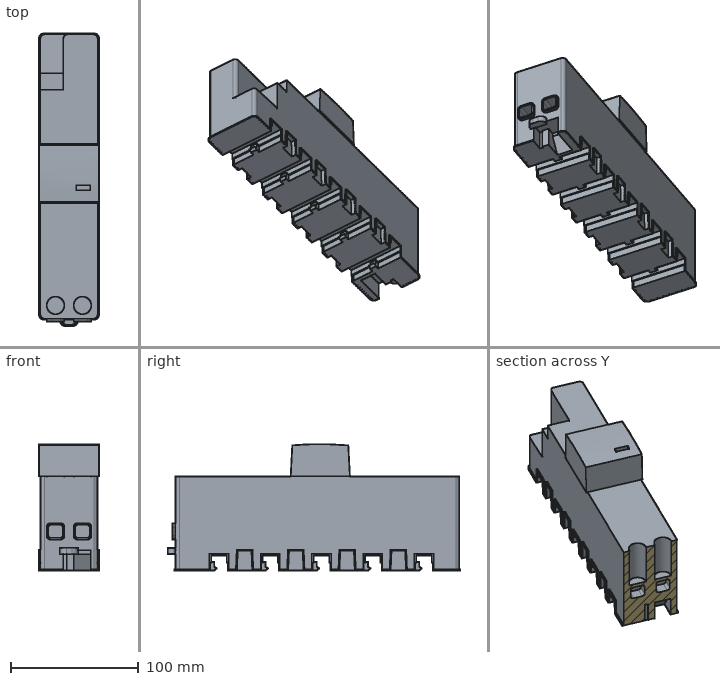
import cadquery as cq

overall_width = 47.0
overall_length = 229.0
overall_height = 99.0
lip_side = 1.1
lip_end = 0.8
lip_height = 1.0
body_width = overall_width - 2 * lip_side
body_length = 222.1
body_height = 73.7
body_corner_radius = 3.0
front_y = -body_length / 2
back_y = body_length / 2
cut_margin = 2.3
pick_margin = 0.2

hood_center_y = 2.3
hood_base_length = 46.5
hood_top_length = 44.0
hood_crown = 1.0
hood_slot_width = 11.0
hood_slot_length = 3.7
hood_slot_depth = 3.5
hood_slot_x = 11.0
hood_slot_y = -8.7

step_x = -4.4
step_lower_y = 80.5
step_upper_y = 68.0
step_upper_z = 60.7
step_floor_inner_z = 33.0
step_floor_outer_z = 31.5

notch_count = 5
notch_pitch = 40.0
notch_first_y = 83.4
notch_frame_width = 15.0
notch_frame_height = 13.0
notch_mouth_width = 13.7
notch_mouth_height = 6.2
notch_throat_width = 12.0
notch_throat_height = 11.7

pocket_frame_height = 16.5
pocket_frame_top = 12.4
pocket_frame_bottom = 13.7
pocket_rim = 1.0
pocket_floor_x = 19.7

terminal_offset_x = 10.5
screw_hole_diameter = 13.7
screw_hole_depth = 34.3
screw_hole_y = -100.8
collar_width = 14.0
collar_height = 13.0
collar_wall = 1.4
collar_radius = 3.5
collar_projection = 2.3
collar_z = 30.7
wire_hole_depth = 18.3

slot_left_x = -4.5
slot_right_x = 17.0
slot_height = 15.8
slot_upper_depth = 16.0
slot_lower_depth = 24.0
slot_slope_z = 12.8
slider_left_x = -1.8
slider_right_x = 3.7
slider_recess = 9.2
slider_step_recess = 10.5
hook_thickness = 3.2
hook_height = 6.9
hook_tip_reach = 5.3
hook_tip_z = 1.8
hook_root_z = 3.0
tab_width = 14.2
tab_bottom_z = 12.8
tab_top_z = 17.9
tab_projection = overall_length - body_length - lip_end
tab_corner_radius = 4.8
tab_wall = 1.4
tab_floor = 1.1
tab_back_wall = 1.0

notch_ys = [notch_first_y - i * notch_pitch for i in range(notch_count)]
pocket_ys = [y - notch_pitch / 2 for y in notch_ys[:-1]]


def box(x0, x1, y0, y1, z0, z1):
    """Box between two opposite corners."""
    return cq.Workplane("XY").box(x1 - x0, y1 - y0, z1 - z0, centered=False).translate((x0, y0, z0))


def yz_prism(points, x0, x1):
    """Prism with a YZ outline, running from x0 to x1."""
    return cq.Workplane("YZ").workplane(offset=x0).polyline(points).close().extrude(x1 - x0)


def trapezoid(center_y, bottom, top, height, x0, x1):
    """Prism with a trapezoid YZ outline standing on Z = 0."""
    points = [
        (center_y - bottom / 2, 0),
        (center_y + bottom / 2, 0),
        (center_y + top / 2, height),
        (center_y - top / 2, height),
    ]
    return yz_prism(points, x0, x1)


def slab(width, length, height, radius):
    """Upright slab with rounded vertical corners."""
    plain = cq.Workplane("XY").box(width, length, height, centered=(True, True, False))
    return plain.edges("|Z").fillet(radius)


def corner_cut():
    """Stepped cut with a gently sloping lower floor."""
    beyond_y = back_y + cut_margin
    profile = [
        (step_upper_y, body_height),
        (step_upper_y, step_upper_z),
        (step_lower_y, step_upper_z),
        (step_lower_y, step_floor_inner_z),
        (back_y, step_floor_outer_z),
        (beyond_y, step_floor_outer_z),
        (beyond_y, body_height),
    ]
    return yz_prism(profile, -overall_width, step_x)


def hood():
    """Hood as wide as the bottom lip, tapering slightly toward its arched top."""
    base = hood_base_length / 2
    top = hood_top_length / 2
    shoulder_z = overall_height - hood_crown
    solid = (
        cq.Workplane("YZ")
        .moveTo(hood_center_y - base, body_height)
        .lineTo(hood_center_y + base, body_height)
        .lineTo(hood_center_y + top, shoulder_z)
        .threePointArc((hood_center_y, overall_height), (hood_center_y - top, shoulder_z))
        .close()
        .extrude(overall_width / 2, both=True)
    )
    slot = (
        cq.Workplane("XY")
        .box(hood_slot_width, hood_slot_length, 2 * hood_slot_depth)
        .translate((hood_slot_x, hood_slot_y, overall_height))
    )
    return solid.cut(slot)


def notch_opening(center_y):
    """Opening across the whole width: a wide mouth and a narrower throat above it."""
    reach = overall_width
    mouth = trapezoid(center_y, notch_mouth_width, notch_mouth_width, notch_mouth_height, -reach, reach)
    throat = trapezoid(center_y, notch_throat_width, notch_throat_width, notch_throat_height, -reach, reach)
    return mouth.union(throat)


def pocket_recess(center_y, side):
    """Tapered recess inside a pocket frame; side is -1 or 1 along X."""
    inner_top = pocket_frame_top - 2 * pocket_rim
    inner_bottom = pocket_frame_bottom - 2 * pocket_rim
    x0, x1 = sorted((side * pocket_floor_x, side * overall_width))
    return trapezoid(center_y, inner_bottom, inner_top, pocket_frame_height - pocket_rim, x0, x1)


def slider_slot():
    """Slot in the front end, open at the bottom, with an end wall that slopes in its lower part."""
    profile = [
        (front_y - cut_margin, 0),
        (front_y + slot_lower_depth, 0),
        (front_y + slot_upper_depth, slot_slope_z),
        (front_y + slot_upper_depth, slot_height),
        (front_y - cut_margin, slot_height),
    ]
    return yz_prism(profile, slot_left_x, slot_right_x)


def slider_block():
    """Slider end inside the slot, with a narrow strip set back on its left."""
    end_y = front_y + slot_lower_depth
    block = box(slider_left_x, slider_right_x, front_y + slider_recess, end_y, 0, slot_height)
    strip = box(slot_left_x, slider_left_x, front_y + slider_step_recess, end_y, 0, slot_height)
    return block.union(strip)


def hook(center_y):
    """Catch standing on the front wall of a notch, its tip pointing along +Y."""
    wall_y = center_y - notch_mouth_width / 2
    profile = [
        (wall_y, 0),
        (wall_y + hook_thickness, 0),
        (wall_y + hook_tip_reach, hook_tip_z),
        (wall_y + hook_thickness, hook_root_z),
        (wall_y + hook_thickness, hook_height),
        (wall_y, hook_height),
    ]
    return yz_prism(profile, slider_left_x, slider_right_x)


def finger_tab():
    """Rounded cup on the front end, open at the top."""
    half = tab_width / 2
    outer_y = front_y - tab_projection
    outer = box(-half, half, outer_y, front_y, tab_bottom_z, tab_top_z)
    outer = outer.edges("|Z and <Y").fillet(tab_corner_radius)
    inner_half = half - tab_wall
    inner_y0 = outer_y + tab_wall
    inner_y1 = front_y - tab_back_wall
    inner = box(-inner_half, inner_half, inner_y0, inner_y1, tab_bottom_z + tab_floor, tab_top_z)
    inner = inner.edges("|Z and <Y").fillet(tab_corner_radius - tab_wall)
    return outer.cut(inner)


def rounded_bar(x, width, height, radius, y0, y1):
    """Bar along Y with a rounded rectangular section at the terminal height."""
    bar = box(x - width / 2, x + width / 2, y0, y1, collar_z - height / 2, collar_z + height / 2)
    return bar.edges("|Y").fillet(radius)


body = slab(body_width, body_length, body_height, body_corner_radius).cut(corner_cut())
step_corner = cq.selectors.BoxSelector(
    (step_x - pick_margin, back_y - pick_margin, step_floor_outer_z),
    (step_x + pick_margin, back_y + pick_margin, body_height),
)
body = body.edges("|Z").edges(step_corner).fillet(body_corner_radius)
lip_radius = body_corner_radius + lip_end
body = body.union(slab(overall_width, body_length + 2 * lip_end, lip_height, lip_radius))
body = body.union(hood())

half_width = overall_width / 2
for y in notch_ys:
    body = body.union(
        trapezoid(y, notch_frame_width, notch_frame_width, notch_frame_height, -half_width, half_width)
    )
for y in pocket_ys:
    body = body.union(
        trapezoid(y, pocket_frame_bottom, pocket_frame_top, pocket_frame_height, -half_width, half_width)
    )

for y in notch_ys:
    body = body.cut(notch_opening(y)).union(hook(y))
for y in pocket_ys:
    for side in (-1, 1):
        body = body.cut(pocket_recess(y, side))

body = body.cut(slider_slot()).union(slider_block()).union(finger_tab())

for x in (-terminal_offset_x, terminal_offset_x):
    screw_hole = (
        cq.Workplane("XY")
        .workplane(offset=body_height - screw_hole_depth)
        .center(x, screw_hole_y)
        .circle(screw_hole_diameter / 2)
        .extrude(screw_hole_depth)
    )
    collar_y = front_y - collar_projection
    collar = rounded_bar(x, collar_width, collar_height, collar_radius, collar_y, front_y)
    wire_hole = rounded_bar(
        x,
        collar_width - 2 * collar_wall,
        collar_height - 2 * collar_wall,
        collar_radius - collar_wall,
        collar_y,
        front_y + wire_hole_depth,
    )
    body = body.union(collar).cut(wire_hole).cut(screw_hole)

result = body